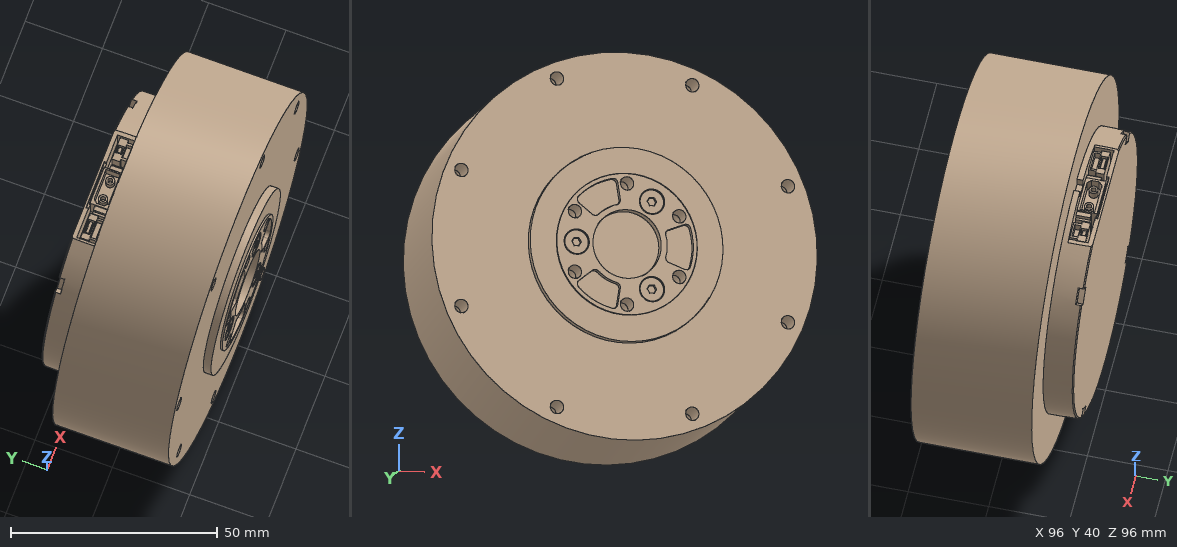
import cadquery as cq
import math

body_radius = 48.0
body_length = 30.0
hub_radius = 24.0
hub_height = 2.0
disc_radius = 17.5
disc_height = 2.5
cover_base_radius = 35.5
cover_radius = 35.4
cover_height = 7.5
cover_chamfer = 0.3
disc_face = -disc_height
cover_face = body_length + cover_height

bore_radius = 8.5
bore_depth = 2.5
thread_hole_diameter = 3.3
drill_tip_angle = 118.0
output_hole_count = 6
output_hole_circle = 15.0
output_hole_depth = 6.0
mount_hole_count = 8
mount_hole_circle = 44.0
mount_hole_depth = 8.0

window_count = 3
window_inner_radius = 10.0
window_outer_radius = 16.5
window_half_angle = 21.3
window_corner_radius = 1.2
window_depth = 1.5

screw_count = 3
screw_circle = 12.5
screw_recess_radius = 3.1
screw_head_radius = 2.95
screw_recess_depth = 0.5
screw_head_gap = 0.2
screw_socket_size = 2.3
screw_socket_depth = 1.0

notch_count = 4
notch_width = 4.1
notch_depth = 1.5
notch_floor_radius = 33.0

bay_flat = 32.15
bay_width = 29.8
bay_length = 6.0
slot_width = 3.4
slot_floor = 33.3
opening_left = -14.3
opening_right = 13.8
opening_top = 1.2
opening_depth = 6.0
opening_floor = bay_flat - opening_depth
back_relief_width = 12.6
back_relief_edge = 0.6
back_relief_depth = 1.0
connector_face_drop = 0.5
connector_face = bay_flat - connector_face_drop

power_width = 9.9
power_top = 1.0
power_socket_left = -4.4
power_socket_right = 4.55
power_socket_top = 1.7
power_socket_bottom = 5.4
power_socket_chamfer = 0.9
power_socket_depth = 3.0
power_pin_offset = 2.5
power_pin_radius = 1.1
power_pin_height = 2.0
power_pin_hole_radius = 0.6
power_post_width = 1.2
power_post_top = 2.4
power_ledge_width = 0.6
power_ledge_drop = 1.0

signal_top = 2.0
signal_shoulder = 4.1
signal_window_bottom = 3.8
signal_plug_bottom = 5.6
signal_cavity_depth = 2.0
signal_tongue_gap = 0.3
signal_tongue_bottom = 3.4
signal_tongue_drop = 0.4
left_start = -13.9
left_end = -7.2
left_foot_inset = 0.5
left_plug_inset = 0.95
left_window_width = 3.6
left_window_top = 2.25
right_start = 7.7
right_end = 13.6
right_foot_inset = 0.65
right_plug_inset = 1.25
right_window_width = 2.0
right_window_top = 2.2


def cylinder(radius, start, end, x=0.0, z=0.0):
    """Cylinder along +Y between two Y positions."""
    base = cq.Vector(x, start, z)
    return cq.Workplane(cq.Solid.makeCylinder(radius, end - start, base, cq.Vector(0, 1, 0)))


def bay_block(left, right, top, bottom, low, high):
    """Box in the bay; top and bottom are distances toward -Y from the cover face."""
    return (
        cq.Workplane("XY")
        .box(right - left, bottom - top, high - low, centered=False)
        .translate((left, cover_face - bottom, low))
    )


def polar_points(radius, count, start_angle):
    """Evenly spaced (x, z) points on a circle around the motor axis."""
    angles = [math.radians(start_angle + 360.0 * i / count) for i in range(count)]
    return [(radius * math.cos(a), radius * math.sin(a)) for a in angles]


def turned_body():
    outline = [
        (disc_face, 0),
        (disc_face, disc_radius),
        (-hub_height, disc_radius),
        (-hub_height, hub_radius),
        (0, hub_radius),
        (0, body_radius),
        (body_length, body_radius),
        (body_length, cover_base_radius),
        (cover_face - cover_chamfer, cover_radius),
        (cover_face, cover_radius - cover_chamfer),
        (cover_face, 0),
    ]
    return cq.Workplane("YZ").polyline(outline).close().revolve(360, (0, 0), (1, 0))


def drilled_hole(x, z, face, depth):
    """Blind hole with a conical drill tip, entering toward +Y."""
    radius = thread_hole_diameter / 2
    tip = radius / math.tan(math.radians(drill_tip_angle / 2))
    profile = [(0, face), (radius, face), (radius, face + depth), (0, face + depth + tip)]
    hole = cq.Workplane("XY").polyline(profile).close().revolve(360, (0, 0), (0, 1))
    return hole.translate((x, 0, z))


def output_window(angle):
    """Pocket between two arcs and two radial sides, with rounded corners."""
    half = math.radians(window_half_angle)

    def at(radius, turn):
        return (radius * math.cos(turn), radius * math.sin(turn))

    return (
        cq.Workplane("XZ", origin=(0, disc_face, 0))
        .moveTo(*at(window_inner_radius, -half))
        .lineTo(*at(window_outer_radius, -half))
        .threePointArc((window_outer_radius, 0), at(window_outer_radius, half))
        .lineTo(*at(window_inner_radius, half))
        .threePointArc((window_inner_radius, 0), at(window_inner_radius, -half))
        .close()
        .extrude(-window_depth)
        .edges("|Y")
        .fillet(window_corner_radius)
        .rotate((0, 0, 0), (0, 1, 0), -angle)
    )


def screw_recess(x, z):
    """Round recess around a sunk screw head that has a hexagon socket."""
    head_face = disc_face + screw_head_gap
    recess = cylinder(screw_recess_radius, disc_face, disc_face + screw_recess_depth, x, z)
    head = cylinder(screw_head_radius, head_face, disc_face + screw_recess_depth, x, z)
    socket = (
        cq.Workplane("XZ", origin=(x, head_face, z))
        .polygon(6, screw_socket_size)
        .extrude(-screw_socket_depth)
    )
    return recess.cut(head).union(socket)


def cover_notch(angle):
    """Short notch in the cover's back edge with a floor concentric to the axis."""
    block = (
        cq.Workplane("XY")
        .box(cover_radius, notch_depth, notch_width, centered=(False, False, True))
        .translate((notch_floor_radius / 2, cover_face - notch_depth, 0))
    )
    core = cylinder(notch_floor_radius, cover_face - notch_depth, cover_face)
    return block.cut(core).rotate((0, 0, 0), (0, 1, 0), -angle)


def connector_bay():
    """Flat, slot and opening that make room for the connectors."""
    half = bay_width / 2
    flat = bay_block(-half, half, 0, bay_length, bay_flat, body_radius)
    slot = bay_block(-slot_width / 2, slot_width / 2, 0, cover_height, slot_floor, body_radius)
    opening = bay_block(opening_left, opening_right, opening_top, bay_length, opening_floor, bay_flat)
    relief_half = back_relief_width / 2
    relief = bay_block(
        -relief_half, relief_half, back_relief_edge, bay_length, bay_flat - back_relief_depth, bay_flat
    )
    return flat.union(slot).union(opening).union(relief)


def power_side(side, inner, outer, high):
    """Block beside the power plug between two distances from its middle."""
    left, right = sorted((side * inner, side * outer))
    return bay_block(left, right, power_post_top, bay_length, opening_floor, high)


def power_plug():
    """Two-pin power plug: housing with a keyed socket, tubular pins, a stepped post on each side."""
    half = power_width / 2
    plug = bay_block(-half, half, power_top, bay_length, opening_floor, bay_flat)
    socket_floor = bay_flat - power_socket_depth
    socket = bay_block(
        power_socket_left, power_socket_right, power_socket_top, power_socket_bottom, socket_floor, bay_flat
    )
    plug = plug.cut(socket.edges("|Z and <X").chamfer(power_socket_chamfer))
    pin_y = cover_face - (power_socket_top + power_socket_bottom) / 2
    for side in (-1, 1):
        pin = (
            cq.Workplane("XY", origin=(side * power_pin_offset, pin_y, socket_floor))
            .circle(power_pin_radius)
            .circle(power_pin_hole_radius)
            .extrude(power_pin_height)
        )
        post_end = half + power_post_width
        ledge_end = post_end + power_ledge_width
        post = power_side(side, half, post_end, connector_face)
        ledge = power_side(side, post_end, ledge_end, connector_face - power_ledge_drop)
        plug = plug.union(pin).union(post).union(ledge)
    return plug


def signal_socket(start, end, foot_inset, plug_inset, window_width, window_top):
    """Signal socket: wide head, narrower foot, plug cavity, and a window with a tongue in the head."""
    left, right = start + foot_inset, end - foot_inset
    head = bay_block(start, end, signal_top, signal_shoulder, opening_floor, connector_face)
    foot = bay_block(left, right, signal_shoulder, bay_length, opening_floor, connector_face)

    left, right = start + plug_inset, end - plug_inset
    cavity_floor = connector_face - signal_cavity_depth
    cavity = bay_block(left, right, signal_shoulder, signal_plug_bottom, cavity_floor, connector_face)

    middle = (start + end) / 2
    left, right = middle - window_width / 2, middle + window_width / 2
    window = bay_block(left, right, window_top, signal_window_bottom, cavity_floor, connector_face)

    left, right = left + signal_tongue_gap, right - signal_tongue_gap
    tongue_top = window_top + signal_tongue_gap
    tongue_face = connector_face - signal_tongue_drop
    tongue = bay_block(left, right, tongue_top, signal_tongue_bottom, cavity_floor, tongue_face)
    return head.union(foot).cut(cavity).cut(window).union(tongue)


result = turned_body()
result = result.cut(cylinder(bore_radius, disc_face, disc_face + bore_depth))

for x, z in polar_points(output_hole_circle, output_hole_count, 90):
    result = result.cut(drilled_hole(x, z, disc_face, output_hole_depth))
for x, z in polar_points(mount_hole_circle, mount_hole_count, 180 / mount_hole_count):
    result = result.cut(drilled_hole(x, z, 0, mount_hole_depth))
for i in range(window_count):
    result = result.cut(output_window(i * 360 / window_count))
for x, z in polar_points(screw_circle, screw_count, 180):
    result = result.cut(screw_recess(x, z))
for i in range(notch_count):
    result = result.cut(cover_notch((i + 0.5) * 360 / notch_count))

result = result.cut(connector_bay())
result = result.union(power_plug())
result = result.union(
    signal_socket(left_start, left_end, left_foot_inset, left_plug_inset, left_window_width, left_window_top)
)
result = result.union(
    signal_socket(
        right_start, right_end, right_foot_inset, right_plug_inset, right_window_width, right_window_top
    )
)